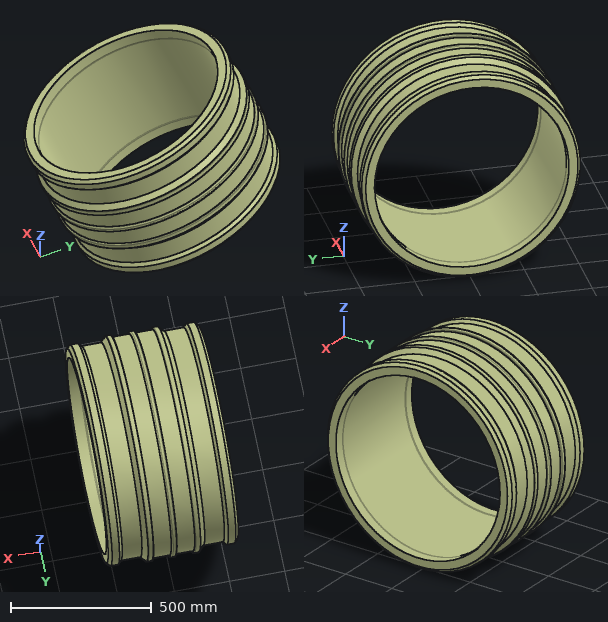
import cadquery as cq

length = 472.0
bore_diameter = 710.0
groove_diameter = 776.0
lip_diameter = 800.0
body_diameter = 800.66
rib_diameter = 817.0

half_length = length / 2
bore_radius = bore_diameter / 2
groove_radius = groove_diameter / 2
lip_radius = lip_diameter / 2
body_radius = body_diameter / 2
rib_radius = rib_diameter / 2

lip_chamfer = lip_radius - groove_radius
lip_band_width = 27.0

rib_width = 20.0
middle_rib_fillet = 5.0
outer_rib_fillet = 2.0
outer_rib_offset = 85.0

cone_top_radius = rib_radius - outer_rib_fillet
cone_length = cone_top_radius - groove_radius

bore_land_length = 40.0
bore_taper_length = 4.0
bore_relief_depth = 1.0


def make_sleeve():
    """Sleeve with lips, grooves, cones and body, revolved about X from a symmetric section."""
    cone_start = outer_rib_offset + rib_width / 2
    lip_outer = half_length - lip_chamfer
    lip_inner = lip_outer - lip_band_width
    land_start = half_length - bore_land_length
    relief_radius = bore_radius + bore_relief_depth
    half_section = [
        (cone_start, body_radius),
        (cone_start, cone_top_radius),
        (cone_start + cone_length, groove_radius),
        (lip_inner - lip_chamfer, groove_radius),
        (lip_inner, lip_radius),
        (lip_outer, lip_radius),
        (half_length, groove_radius),
        (half_length, bore_radius),
        (land_start, bore_radius),
        (land_start - bore_taper_length, relief_radius),
    ]
    mirrored_half = [(-x, radius) for x, radius in reversed(half_section)]
    section = cq.Workplane("XY").polyline(half_section + mirrored_half).close()
    return section.revolve(360, (0, 0, 0), (1, 0, 0))


def make_rib(x_offset, fillet_radius):
    """Ring with rounded outer edges, centred at x_offset and rooted inside the sleeve wall."""
    start_plane = cq.Workplane("YZ", origin=(x_offset - rib_width / 2, 0, 0))
    disc = start_plane.circle(rib_radius).extrude(rib_width).edges("%CIRCLE").fillet(fillet_radius)
    core = start_plane.circle(groove_radius).extrude(rib_width)
    return disc.cut(core)


result = make_sleeve().union(make_rib(0, middle_rib_fillet))
for side in (-1, 1):
    result = result.union(make_rib(side * outer_rib_offset, outer_rib_fillet))